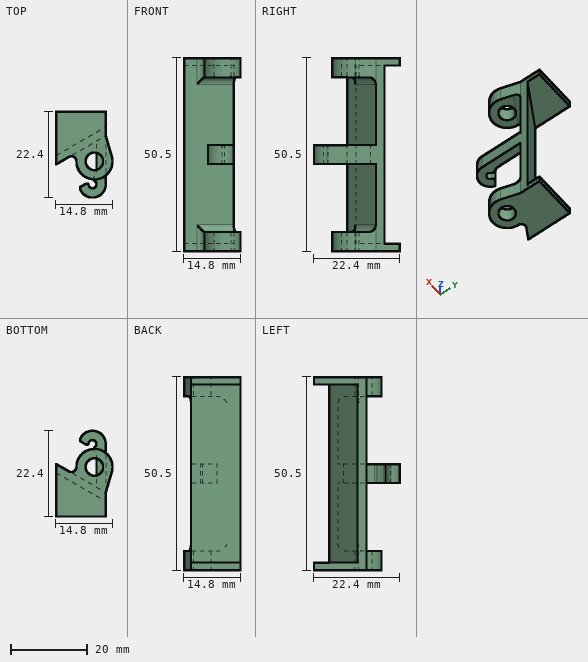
import cadquery as cq
import math

height = 50.5
plate_width = 13.0
plate_thickness = 2.0
plate_depth = 13.8
wall_thickness = 2.0
wall_angle = math.radians(30)

lug_height = 5.05
lug_radius = 4.75
lug_x = 10.0
lug_y = -13.0
pin_radius = 2.25
side_fillet = 1.25
root_fillet = 1.9

hook_height = 5.0
hook_outer_radius = 3.5
hook_inner_radius = 1.0
hook_end_y = -22.45
tip_radius = 0.5
lip_start = 2.0
lip_bend_radius = 1.0
lip_bend_angle = math.radians(45)

along = cq.Vector(math.cos(wall_angle), math.sin(wall_angle))
outward = cq.Vector(math.sin(wall_angle), -math.cos(wall_angle))
wall_left = cq.Vector(0, -plate_depth)
wall_length = plate_width / math.cos(wall_angle)
wall_right = wall_left + along * wall_length
back_offset = wall_thickness / math.cos(wall_angle)


def polar(center, radius, angle):
    return center + cq.Vector(math.cos(angle), math.sin(angle)) * radius


def prism(outline, bottom, depth):
    return outline.close().extrude(depth).translate((0, 0, bottom))


def start_at(point):
    return cq.Workplane("XY").moveTo(point.x, point.y)


def line_to(outline, point):
    return outline.lineTo(point.x, point.y)


def arc_to(outline, center, radius, start, end):
    """Add an arc about center, running from the start angle to the end angle."""
    middle = polar(center, radius, (start + end) / 2)
    finish = polar(center, radius, end)
    return outline.threePointArc((middle.x, middle.y), (finish.x, finish.y))


def wall():
    outline = start_at(wall_left)
    outline = line_to(outline, wall_right)
    outline = outline.lineTo(plate_width, wall_right.y + back_offset)
    outline = outline.lineTo(0, wall_left.y + back_offset)
    return prism(outline, 0, height)


def plate():
    outline = start_at(wall_left)
    outline = line_to(outline, wall_right)
    outline = outline.lineTo(plate_width, 0).lineTo(0, 0)
    return prism(outline, 0, plate_thickness)


def lug(depth):
    """Lug in front of the wall, blended into it on the left and tangent on the right."""
    center = cq.Vector(lug_x, lug_y)
    lug_left = lug_x - lug_radius
    fillet_x = lug_left - side_fillet
    fillet_y = wall_left.y + fillet_x * math.tan(wall_angle) - side_fillet / math.cos(wall_angle)
    fillet_center = cq.Vector(fillet_x, fillet_y)
    to_corner = wall_right - center
    corner_angle = math.atan2(to_corner.y, to_corner.x)
    tangent_angle = corner_angle - math.acos(lug_radius / to_corner.Length)

    fillet_start = math.pi / 2 + wall_angle
    outline = start_at(polar(fillet_center, side_fillet, fillet_start))
    outline = arc_to(outline, fillet_center, side_fillet, fillet_start, 0)
    outline = outline.lineTo(lug_left, lug_y)
    outline = arc_to(outline, center, lug_radius, -math.pi, tangent_angle)
    outline = line_to(outline, wall_right)
    outline = line_to(outline, wall_right - outward * (wall_thickness / 2))
    outline = line_to(outline, polar(fillet_center, side_fillet + wall_thickness / 2, fillet_start))
    return prism(outline, 0, depth)


def root_fillet_strip():
    """Concave fillet on top of a lug, running along the whole wall and past its right end."""
    profile_plane = cq.Plane(wall_left, outward, along * -1)
    bend = root_fillet * (1 - math.sqrt(0.5))
    top = lug_height + root_fillet
    return (
        cq.Workplane(profile_plane)
        .moveTo(0, lug_height)
        .lineTo(root_fillet, lug_height)
        .threePointArc((bend, lug_height + bend), (0, top))
        .close()
        .extrude(-(wall_length + root_fillet))
    )


def bracket_end():
    """Bottom plate with its lug, root fillet and pin hole."""
    blend = root_fillet_strip().intersect(lug(lug_height + root_fillet))
    pin_hole = cq.Workplane("XY").center(lug_x, lug_y).circle(pin_radius).extrude(lug_height + root_fillet)
    return plate().union(lug(lug_height)).union(blend).cut(pin_hole)


def hook():
    center = cq.Vector(plate_width - hook_outer_radius, hook_end_y + hook_outer_radius)
    inner_x = center.x + hook_inner_radius
    mouth = hook_inner_radius + tip_radius

    step_x = inner_x - lip_bend_radius
    step_y = wall_left.y - lip_start
    first_bend = cq.Vector(step_x, step_y)
    second_bend = polar(first_bend, 2 * lip_bend_radius, -lip_bend_angle)
    lip_x = second_bend.x - lip_bend_radius
    lip_center_x = lip_x + tip_radius
    lip_angle = math.acos((lip_center_x - center.x) / mouth)
    lip_center = polar(center, mouth, lip_angle)

    tip_offset = hook_inner_radius - tip_radius
    face_angle = wall_angle + math.pi / 2
    tip_angle = face_angle + math.acos(tip_offset / mouth)
    tip_center = polar(center, mouth, tip_angle)
    heel_reach = hook_outer_radius - tip_radius
    heel_angle = face_angle + math.acos(tip_offset / heel_reach)
    heel_center = polar(center, heel_reach, heel_angle)

    outline = start_at(wall_right)
    outline = line_to(outline, cq.Vector(plate_width, center.y))
    outline = arc_to(outline, center, hook_outer_radius, 0, heel_angle - 2 * math.pi)
    outline = arc_to(outline, heel_center, tip_radius, heel_angle, face_angle)
    outline = line_to(outline, polar(tip_center, tip_radius, face_angle))
    outline = arc_to(outline, tip_center, tip_radius, face_angle, tip_angle - math.pi)
    outline = arc_to(outline, center, hook_inner_radius, tip_angle, lip_angle + 2 * math.pi)
    outline = arc_to(outline, lip_center, tip_radius, lip_angle - math.pi, -math.pi)
    outline = outline.lineTo(lip_x, second_bend.y)
    outline = arc_to(outline, second_bend, lip_bend_radius, math.pi, math.pi - lip_bend_angle)
    outline = arc_to(outline, first_bend, lip_bend_radius, -lip_bend_angle, 0)
    outline = outline.lineTo(inner_x, wall_right.y)
    return prism(outline, (height - hook_height) / 2, hook_height)


bottom_end = bracket_end()
top_end = bottom_end.mirror("XY", (0, 0, height / 2))
result = wall().union(bottom_end).union(top_end).union(hook())